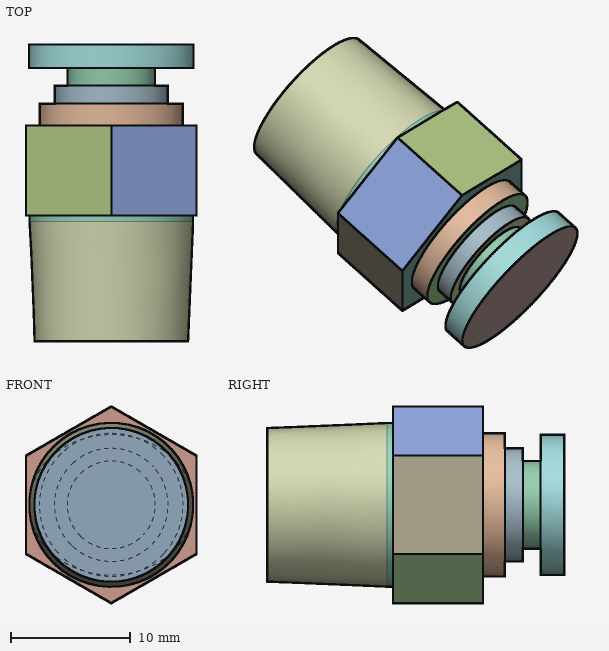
import cadquery as cq
import math

total_length = 24.85

thread_length = 10.01
shoulder_length = 0.5
hex_length = 7.55
body_length = 1.81
sleeve_length = 1.52
neck_length = 1.47

thread_tip_diameter = 12.87
thread_root_diameter = 13.72
hex_across_flats = 14.26
body_diameter = 12.0
sleeve_diameter = 9.5
neck_diameter = 7.35
button_width = 13.77
button_height = 11.75


def section_plane(y):
    """Workplane across the axis at y, with local axes X and Z, facing -Y."""
    return cq.Workplane("XZ", origin=(0, y, 0))


def cylinder(diameter, y_start, length):
    return section_plane(y_start).circle(diameter / 2).extrude(-length)


thread_start = -total_length / 2
shoulder_start = thread_start + thread_length
hex_start = shoulder_start + shoulder_length
body_start = hex_start + hex_length
sleeve_start = body_start + body_length
neck_start = sleeve_start + sleeve_length
button_start = neck_start + neck_length
button_length = total_length / 2 - button_start

thread = (
    section_plane(shoulder_start)
    .circle(thread_root_diameter / 2)
    .workplane(offset=thread_length)
    .circle(thread_tip_diameter / 2)
    .loft(ruled=True)
)

shoulder = cylinder(thread_root_diameter, shoulder_start, shoulder_length)

hex_across_corners = hex_across_flats / math.cos(math.pi / 6)
hexagon = (
    section_plane(hex_start)
    .transformed(rotate=(0, 0, 90))
    .polygon(6, hex_across_corners)
    .extrude(-hex_length)
)

body = cylinder(body_diameter, body_start, body_length)
sleeve = cylinder(sleeve_diameter, sleeve_start, sleeve_length)
neck = cylinder(neck_diameter, neck_start, neck_length)

button = (
    section_plane(button_start)
    .ellipse(button_width / 2, button_height / 2)
    .extrude(-button_length)
)

result = thread
for section in (shoulder, hexagon, body, sleeve, neck, button):
    result = result.union(section)